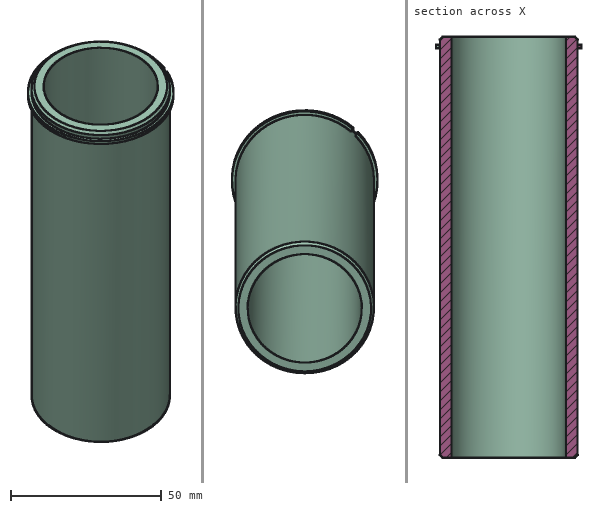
import cadquery as cq

length = 140.0
sleeve_diameter = 46.0
bore_diameter = 38.0
end_chamfer = 1.0

ring_diameter = 48.5
ring_thickness = 1.3
ring_top_setback = 2.7
ring_gap = 2.0


def make_sleeve():
    """Tube with both outer end edges chamfered."""
    body = cq.Workplane("XY").circle(sleeve_diameter / 2).extrude(length)
    body = body.faces("<Z or >Z").edges().chamfer(end_chamfer)
    return body.faces(">Z").workplane().circle(bore_diameter / 2).cutThruAll()


def make_retaining_ring():
    """Flat ring resting on the outside of the sleeve, split at +Y."""
    ring_bottom = length - ring_top_setback - ring_thickness
    ring = (
        cq.Workplane("XY", origin=(0, 0, ring_bottom))
        .circle(ring_diameter / 2)
        .circle(sleeve_diameter / 2)
        .extrude(ring_thickness)
    )
    gap = (
        cq.Workplane("XY", origin=(0, 0, ring_bottom))
        .rect(ring_gap, ring_diameter)
        .extrude(ring_thickness)
        .translate((0, ring_diameter / 2, 0))
    )
    return ring.cut(gap)


sleeve = make_sleeve()
retaining_ring = make_retaining_ring()

result = cq.Compound.makeCompound([sleeve.val(), retaining_ring.val()])